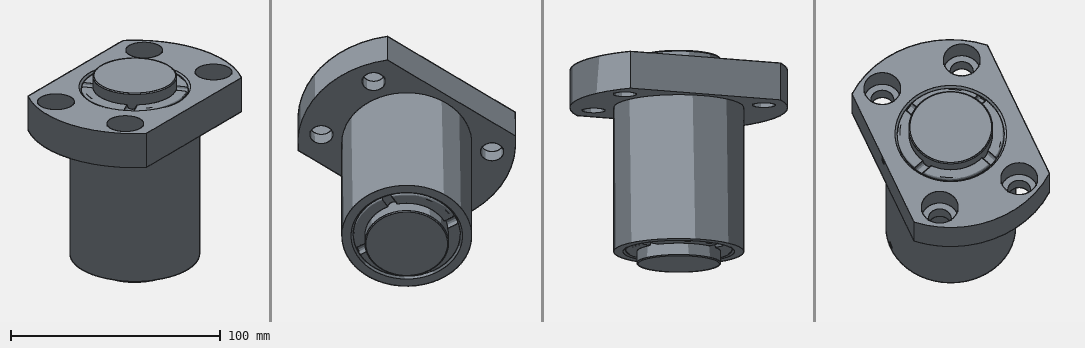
import cadquery as cq
import math

total_length = 100.0
shaft_overhang = 6.0
shaft_dia = 40.0
shaft_chamfer = 0.5

body_dia = 62.0
body_top = total_length / 2 - shaft_overhang
body_bottom = -body_top

flange_dia = 103.8
flange_width = 70.0
flange_thickness = 18.0

bolt_circle_dia = 82
bolt_angles = (60, 120, 240, 300)
bolt_hole_dia = 11.0
counterbore_dia = 17.5
counterbore_depth = 11.0

inner_nut_dia = 50.9
inner_nut_rounding = 1.1
gap_width = 0.1
gap_depth = 2.5
housing_bore_dia = inner_nut_dia + 2 * gap_width
housing_chamfer = 1

notch_count = 4
notch_width = 4.7
notch_offset = 3.7
notch_first_angle = 21.8

oil_hole_dia = 3.0
oil_hole_end_distance = 3.0
oil_hole_inner_end = housing_bore_dia / 2


def make_cylinder(diameter, bottom, top):
    """Vertical cylinder on the Z axis."""
    return cq.Workplane("XY").workplane(offset=bottom).circle(diameter / 2).extrude(top - bottom)


def make_flange():
    """Disc trimmed by the flats, with its counterbored holes."""
    disc = make_cylinder(flange_dia, body_top - flange_thickness, body_top)
    flats = cq.Workplane("XY").box(flange_width, 2 * flange_dia, 2 * total_length)
    radius = bolt_circle_dia / 2
    hole_centres = [
        (radius * math.cos(math.radians(angle)), radius * math.sin(math.radians(angle)))
        for angle in bolt_angles
    ]
    return (
        disc.intersect(flats)
        .faces(">Z")
        .workplane(origin=(0, 0, body_top))
        .pushPoints(hole_centres)
        .cboreHole(bolt_hole_dia, counterbore_dia, counterbore_depth)
    )


def make_end_groove():
    """Ring-shaped groove around the inner nut at the top end."""
    nut_radius = inner_nut_dia / 2
    bore_radius = housing_bore_dia / 2
    arc_inset = inner_nut_rounding * (1 - math.sqrt(0.5))
    return (
        cq.Workplane("XZ")
        .moveTo(nut_radius - inner_nut_rounding, body_top)
        .lineTo(bore_radius + housing_chamfer, body_top)
        .lineTo(bore_radius, body_top - housing_chamfer)
        .lineTo(bore_radius, body_top - gap_depth)
        .lineTo(nut_radius, body_top - gap_depth)
        .lineTo(nut_radius, body_top - inner_nut_rounding)
        .threePointArc(
            (nut_radius - arc_inset, body_top - arc_inset),
            (nut_radius - inner_nut_rounding, body_top),
        )
        .close()
        .revolve(360, (0, 0, 0), (0, 1, 0))
    )


def make_notch(angle):
    """Half-round channel beside the radial line at the given angle."""
    return (
        cq.Workplane("YZ")
        .center(notch_offset, body_top)
        .circle(notch_width / 2)
        .extrude(flange_width / 2)
        .intersect(make_cylinder(housing_bore_dia, body_bottom, body_top))
        .rotate((0, 0, 0), (0, 0, 1), angle)
    )


def make_oil_hole(height):
    """Blind hole drilled from the -X side towards the axis."""
    return (
        cq.Workplane("YZ")
        .workplane(offset=-flange_width / 2)
        .center(0, height)
        .circle(oil_hole_dia / 2)
        .extrude(flange_width / 2 - oil_hole_inner_end)
    )


nut = make_cylinder(body_dia, body_bottom, body_top).union(make_flange())
end_cuts = make_end_groove()
for index in range(notch_count):
    end_cuts = end_cuts.union(make_notch(notch_first_angle + index * 360 / notch_count))
nut = nut.cut(end_cuts).cut(end_cuts.mirror("XY"))

for height in (body_top - oil_hole_end_distance, body_bottom + oil_hole_end_distance):
    nut = nut.cut(make_oil_hole(height))

shaft = make_cylinder(shaft_dia, -total_length / 2, total_length / 2)
shaft = shaft.faces("<Z or >Z").edges().chamfer(shaft_chamfer)

result = nut.union(shaft)